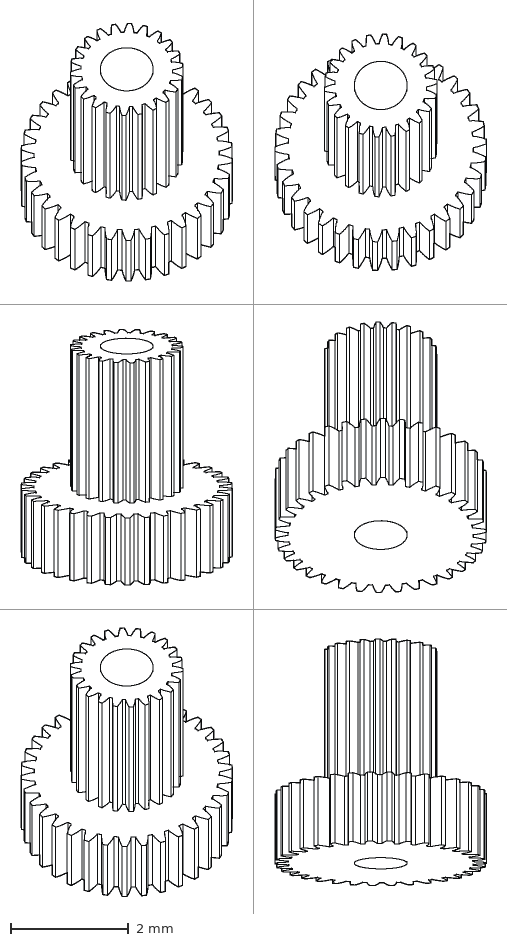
import cadquery as cq
import math

WHEEL_TEETH = 34
WHEEL_TIP_DIAMETER = 3.6
WHEEL_TIP_WIDTH = 0.085
WHEEL_GAP_WIDTH = 0.075
WHEEL_HEIGHT = 1.2

PINION_TEETH = 22
PINION_TIP_DIAMETER = 1.92
PINION_TIP_WIDTH = 0.07
PINION_GAP_WIDTH = 0.055
TOTAL_HEIGHT = 3.7
PINION_HEIGHT = TOTAL_HEIGHT - WHEEL_HEIGHT

BORE_DIAMETER = 0.9

ADDENDUM = 1.0
DEDENDUM = 1.25


def polar(radius, angle):
    """Point at a radius and an angle measured from +Y towards +X."""
    return (radius * math.sin(angle), radius * math.cos(angle))


def gear_outline(teeth, tip_diameter, tip_width, gap_width):
    """Closed gear outline with one tooth centred on +Y.

    Each flank is one arc from the root circle through the pitch circle to the tip circle.
    tip_width is the land on top of a tooth and gap_width the land between two teeth.
    """
    module = tip_diameter / (teeth + 2 * ADDENDUM)
    tip_radius = tip_diameter / 2
    pitch_radius = module * teeth / 2
    root_radius = pitch_radius - DEDENDUM * module

    tooth_pitch = 2 * math.pi / teeth
    tip_angle = tip_width / 2 / tip_radius
    pitch_angle = tooth_pitch / 4
    root_angle = tooth_pitch / 2 - gap_width / 2 / root_radius

    outline = cq.Workplane("XY").moveTo(*polar(root_radius, -root_angle))
    for tooth in range(teeth):
        centre = tooth * tooth_pitch
        next_centre = centre + tooth_pitch
        gap_centre = centre + tooth_pitch / 2
        outline = (
            outline
            .threePointArc(polar(pitch_radius, centre - pitch_angle), polar(tip_radius, centre - tip_angle))
            .threePointArc(polar(tip_radius, centre), polar(tip_radius, centre + tip_angle))
            .threePointArc(polar(pitch_radius, centre + pitch_angle), polar(root_radius, centre + root_angle))
            .threePointArc(polar(root_radius, gap_centre), polar(root_radius, next_centre - root_angle))
        )
    return outline.close()


def bored_gear(outline, height):
    """Spur gear standing on the XY plane with the bore along its axis."""
    bore = cq.Workplane("XY").circle(BORE_DIAMETER / 2).extrude(height)
    return outline.extrude(height).cut(bore)


wheel_outline = gear_outline(WHEEL_TEETH, WHEEL_TIP_DIAMETER, WHEEL_TIP_WIDTH, WHEEL_GAP_WIDTH)
wheel = bored_gear(wheel_outline, WHEEL_HEIGHT)

pinion_outline = gear_outline(PINION_TEETH, PINION_TIP_DIAMETER, PINION_TIP_WIDTH, PINION_GAP_WIDTH)
pinion = bored_gear(pinion_outline, PINION_HEIGHT).translate((0, 0, WHEEL_HEIGHT))

result = cq.Compound.makeCompound([wheel.val(), pinion.val()])